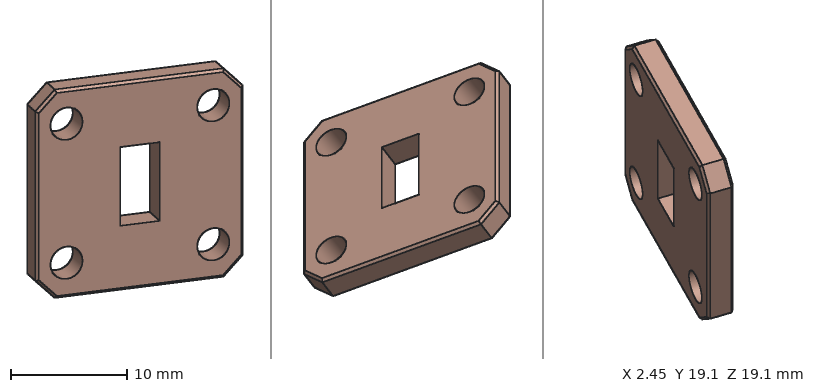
import cadquery as cq

side = 19.05
thickness = 2.45
corner_cut = 1.8
edge_chamfer = 0.25

window_width = 3.6
window_height = 7.18

hole_diameter = 2.93
hole_spacing_y = 13.47
hole_spacing_z = 12.7


def make_plate():
    """Square plate with cut corners and chamfered rims on both faces."""
    plate = cq.Workplane("YZ").rect(side, side).extrude(thickness)
    plate = plate.edges("|X").chamfer(corner_cut)
    return plate.faces("<X or >X").edges().chamfer(edge_chamfer)


def make_window():
    """Through opening at the centre of the plate."""
    return cq.Workplane("YZ").rect(window_width, window_height).extrude(thickness)


def make_mounting_holes():
    """Four through holes on a rectangular pattern."""
    return (
        cq.Workplane("YZ")
        .rect(hole_spacing_y, hole_spacing_z, forConstruction=True)
        .vertices()
        .circle(hole_diameter / 2)
        .extrude(thickness)
    )


flange = make_plate().cut(make_window()).cut(make_mounting_holes())
result = flange.translate((-thickness / 2, 0, 0))